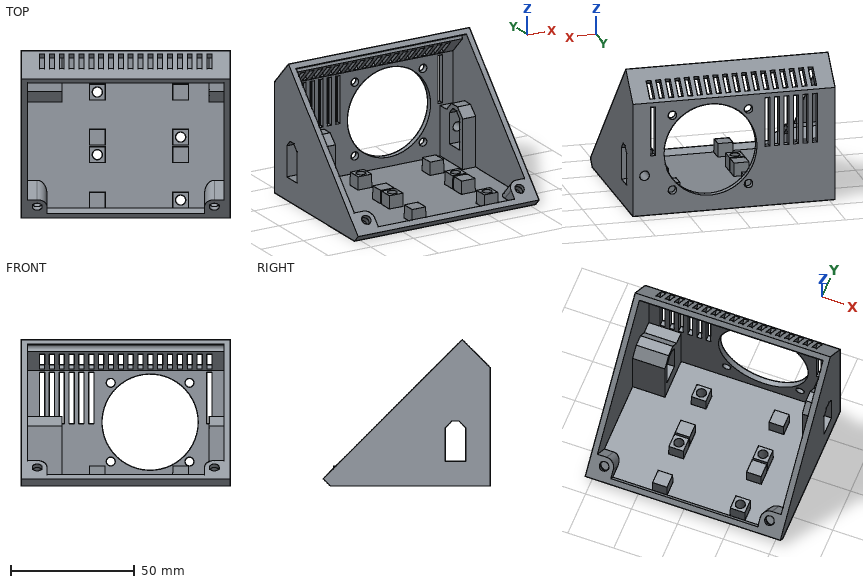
import cadquery as cq
import math

width = 85.0
depth = 68.0
wall = 2.5
open_face_length = 80.0
front_bevel = 3.0
diagonal = math.sqrt(2)
apex_y = open_face_length / diagonal
apex_z = front_bevel + apex_y
roof_run = depth - apex_y
back_top_z = apex_z - roof_run
back_inner_y = depth - wall
inner_right_x = width - wall
over_cut = 5.0

groove_diameter = 3.5

slot_count = 18
slot_pitch = 4.0
slot_width = 2.0
roof_slot_length = 8.3
roof_slot_middle = 10.2
back_slot_bottom = 25.4
back_slot_top = 46.2

fan_x = 52.4
fan_z = 26.0
fan_bore = 39.0
fan_frame = 43.0
fan_screw_spacing = 32.0
fan_screw_hole = 3.5

passage_y = 53.8
block_half_width = 6.6
block_half_crown = 2.4
block_shoulder_z = 24.45
block_crown_z = 28.35
tunnel_half_width = 4.1
tunnel_half_crown = 1.5
tunnel_bottom_z = 10.2
tunnel_shoulder_z = 23.7
tunnel_crown_z = 26.4
left_block_end = 16.6
right_block_start = 76.4
clamp_hole = 4.0
clamp_x = 80.1
clamp_z = 17.1

post_base = 6.5
post_top = 6.3
post_top_z = 8.2
post_hole = 4.0
post_left_x = 30.95
post_right_x = 64.8
left_post_rows = [(51.2, True), (32.9, False), (25.75, True), (7.3, False)]
right_post_rows = [(51.2, False), (32.9, True), (25.75, False), (7.3, True)]

boss_inset = 6.5
boss_radius = 4.0
boss_mouth = 4.0
boss_mouth_depth = 2.0
boss_socket = 6.0
boss_socket_depth = 4.0


def slab(points, x_start, x_end):
    """Prism along X from x_start to x_end with the given (y, z) outline."""
    return cq.Workplane("YZ", origin=(x_start, 0, 0)).polyline(points).close().extrude(x_end - x_start)


def y_cylinder(x, z, diameter, y_start, y_end):
    """Cylinder along Y from y_start to y_end."""
    return cq.Workplane("XZ", origin=(x, y_start, z)).circle(diameter / 2).extrude(y_start - y_end)


outer_outline = [
    (front_bevel, 0),
    (depth, 0),
    (depth, back_top_z),
    (apex_y, apex_z),
    (0, front_bevel),
]
outer_body = slab(outer_outline, 0, width)


def make_cavity():
    """Inside space: one wall thickness from every side, open through the 45 degree face."""
    bevel_sum = front_bevel + wall * diagonal
    roof_sum = apex_y + apex_z - wall * diagonal
    open_difference = front_bevel + over_cut
    outline = [
        (bevel_sum - wall, wall),
        (back_inner_y, wall),
        (back_inner_y, roof_sum - back_inner_y),
        ((roof_sum - open_difference) / 2, (roof_sum + open_difference) / 2),
        ((bevel_sum - open_difference) / 2, (bevel_sum + open_difference) / 2),
    ]
    return slab(outline, wall, inner_right_x)


def make_groove():
    """Half-round groove centred on the inner roof surface."""
    centre_z = apex_z - wall * diagonal
    bar = cq.Workplane("YZ", origin=(wall, apex_y, centre_z)).circle(groove_diameter / 2)
    return bar.extrude(width - 2 * wall)


def make_slots():
    """Slots square through the roof, and upright slots through the back wall beside the fan."""
    middle_y = apex_y + roof_slot_middle / diagonal
    middle_z = apex_z - roof_slot_middle / diagonal
    back_slot_height = back_slot_top - back_slot_bottom
    back_slot_middle_z = (back_slot_top + back_slot_bottom) / 2
    first_x = (width - (slot_count - 1) * slot_pitch) / 2
    slots = cq.Workplane("XY")
    for index in range(slot_count):
        x = first_x + index * slot_pitch
        roof_slot = cq.Workplane("XY").box(slot_width, roof_slot_length, 3 * wall)
        roof_slot = roof_slot.rotate((0, 0, 0), (1, 0, 0), -45).translate((x, middle_y, middle_z))
        slots = slots.add(roof_slot)
        if abs(x - fan_x) > fan_frame / 2:
            back_slot = cq.Workplane("XY").box(slot_width, 3 * wall, back_slot_height)
            slots = slots.add(back_slot.translate((x, depth, back_slot_middle_z)))
    return slots.combine()


def make_fan_openings():
    """Round fan opening and its four screw holes."""
    start_y = back_inner_y - over_cut
    end_y = depth + over_cut
    openings = y_cylinder(fan_x, fan_z, fan_bore, start_y, end_y)
    for side in (-1, 1):
        for level in (-1, 1):
            x = fan_x + side * fan_screw_spacing / 2
            z = fan_z + level * fan_screw_spacing / 2
            openings = openings.union(y_cylinder(x, z, fan_screw_hole, start_y, end_y))
    return openings


def make_passage_block(x_start, x_end):
    """Block with a bevelled crown, carried back to the back wall at shoulder height."""
    outline = [
        (passage_y - block_half_width, 0),
        (depth, 0),
        (depth, block_shoulder_z),
        (passage_y + block_half_width, block_shoulder_z),
        (passage_y + block_half_crown, block_crown_z),
        (passage_y - block_half_crown, block_crown_z),
        (passage_y - block_half_width, block_shoulder_z),
    ]
    return slab(outline, x_start, x_end)


def make_tunnel():
    """Arched cable tunnel across the full width."""
    outline = [
        (passage_y - tunnel_half_width, tunnel_bottom_z),
        (passage_y + tunnel_half_width, tunnel_bottom_z),
        (passage_y + tunnel_half_width, tunnel_shoulder_z),
        (passage_y + tunnel_half_crown, tunnel_crown_z),
        (passage_y - tunnel_half_crown, tunnel_crown_z),
        (passage_y - tunnel_half_width, tunnel_shoulder_z),
    ]
    return slab(outline, 0, width)


def add_posts(body, x, rows):
    """Column of tapered posts at x; rows give each y and whether it is bored through the floor."""
    for y, bored in rows:
        post = cq.Workplane("XY", origin=(x, y, wall)).rect(post_base, post_base)
        post = post.workplane(offset=post_top_z - wall).rect(post_top, post_top).loft(ruled=True)
        body = body.union(post)
        if bored:
            body = body.cut(cq.Workplane("XY", origin=(x, y, 0)).circle(post_hole / 2).extrude(post_top_z))
    return body


def boss_plane(x):
    """Plane on the open face at a boss axis: local X across, local Y up the slope, normal outward."""
    along_slope = boss_inset / diagonal
    origin = (x, along_slope, front_bevel + along_slope)
    return cq.Plane(origin=origin, xDir=(1, 0, 0), normal=(0, -1, 1))


def add_boss(body, x, side):
    """Round-cornered boss at x; side is -1 on the left and 1 on the right."""
    plane = boss_plane(x)
    outline = (
        cq.Workplane(plane)
        .moveTo(side * boss_inset, boss_radius)
        .lineTo(0, boss_radius)
        .radiusArc((-side * boss_radius, 0), -side * boss_radius)
        .lineTo(-side * boss_radius, -boss_inset)
        .lineTo(side * boss_inset, -boss_inset)
        .close()
    )
    boss = outline.extrude(-apex_z).intersect(outer_body)
    mouth = cq.Workplane(plane).circle(boss_mouth / 2).extrude(-boss_mouth_depth)
    socket = cq.Workplane(plane).workplane(offset=-boss_mouth_depth)
    socket = socket.circle(boss_socket / 2).extrude(-boss_socket_depth)
    return body.union(boss).cut(mouth).cut(socket)


result = outer_body.cut(make_cavity()).cut(make_groove())
result = result.cut(make_slots()).cut(make_fan_openings())
result = result.union(make_passage_block(0, left_block_end))
result = result.union(make_passage_block(right_block_start, width))
result = result.cut(make_tunnel())
result = result.cut(y_cylinder(clamp_x, clamp_z, clamp_hole, passage_y, depth))
result = add_posts(result, post_left_x, left_post_rows)
result = add_posts(result, post_right_x, right_post_rows)
result = add_boss(result, boss_inset, -1)
result = add_boss(result, width - boss_inset, 1)